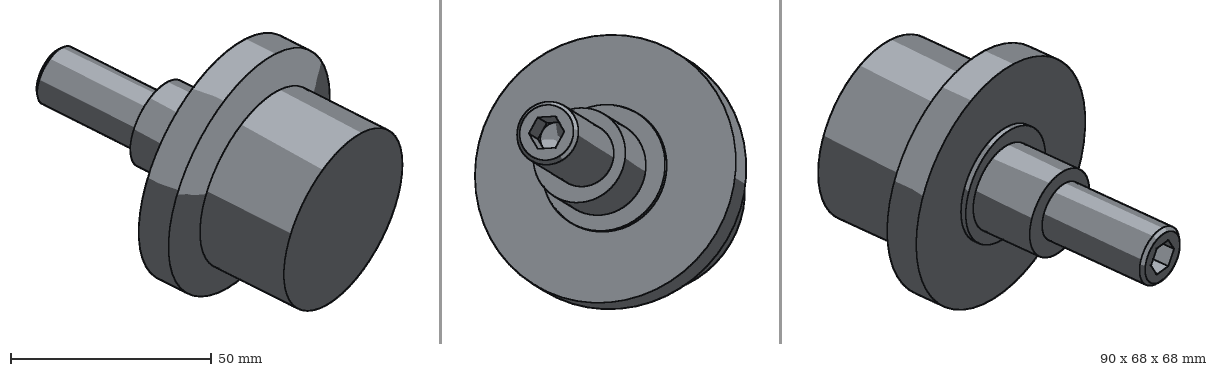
import cadquery as cq
import math

total_length = 90.0
shaft_start = -total_length / 2
shaft_length = 32.0
eccentric_length = 18.0
collar_length = 1.5
rim_length = 9.3
taper_length = 3.15
eccentric_start = shaft_start + shaft_length
collar_start = eccentric_start + eccentric_length
rim_start = collar_start + collar_length
taper_start = rim_start + rim_length
hub_start = taper_start + taper_length
hub_end = total_length / 2

shaft_diameter = 16.0
eccentric_diameter = 24.0
collar_diameter = 32.0
rim_diameter = 68.0
hub_diameter = 50.0

eccentric_offset = 1.0
shaft_chamfer = 1.0

socket_across_flats = 8.0
socket_across_corners = socket_across_flats / math.cos(math.pi / 6)
socket_depth = 8.0
socket_cone_angle = 120.0


def cylinder(start, end, diameter, offset_y=0.0):
    """Cylinder along X between two stations."""
    plane = cq.Workplane("YZ", origin=(start, offset_y, 0))
    return plane.circle(diameter / 2).extrude(end - start)


def make_wheel():
    """Flanged wheel: rim, taper and hub turned about X."""
    rim_radius = rim_diameter / 2
    hub_radius = hub_diameter / 2
    profile = [
        (rim_start, 0),
        (rim_start, rim_radius),
        (taper_start, rim_radius),
        (hub_start, hub_radius),
        (hub_end, hub_radius),
        (hub_end, 0),
    ]
    return cq.Workplane("XY").polyline(profile).close().revolve(360, (0, 0, 0), (1, 0, 0))


def make_socket():
    """Hexagon with corners along Y, ending in a drill point."""
    hexagon = (
        cq.Workplane("YZ", origin=(shaft_start, 0, 0))
        .polygon(6, socket_across_corners)
        .extrude(socket_depth)
    )
    cone_radius = socket_across_flats / 2
    cone_height = cone_radius / math.tan(math.radians(socket_cone_angle / 2))
    cone_base = cq.Vector(shaft_start + socket_depth, 0, 0)
    drill_point = cq.Solid.makeCone(cone_radius, 0, cone_height, cone_base, cq.Vector(1, 0, 0))
    return hexagon.union(cq.Workplane(obj=drill_point))


shaft = cylinder(shaft_start, eccentric_start, shaft_diameter).faces("<X").chamfer(shaft_chamfer)
eccentric = cylinder(eccentric_start, collar_start, eccentric_diameter, eccentric_offset)
collar = cylinder(collar_start, rim_start, collar_diameter)

result = make_wheel().union(collar).union(eccentric).union(shaft).cut(make_socket())